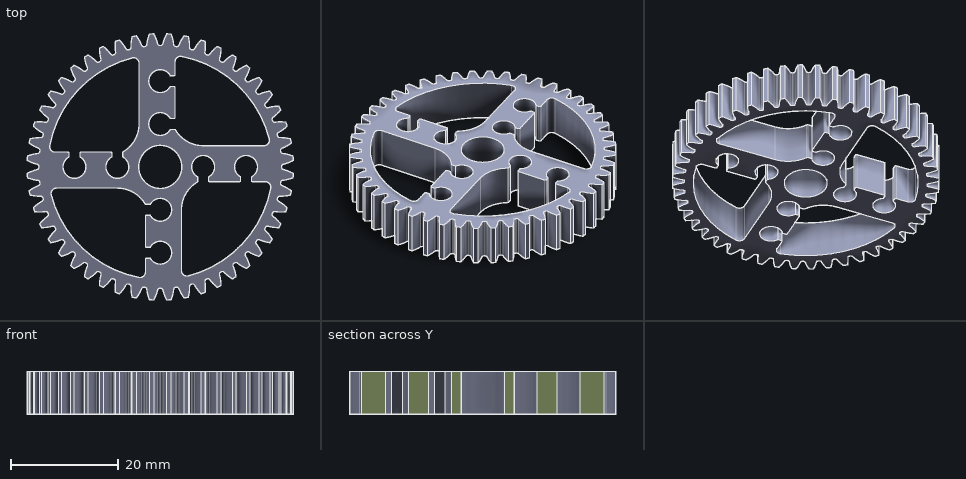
import cadquery as cq
import math

outer_width = 49.75
thickness = 8.0

tooth_count = 48
pitch_radius = 23.95
pressure_angle = math.radians(20)
root_radius = 22.7
root_fillet = 0.4
flank_points = 5

spoke_plain_side = 4.0
spoke_slot_side = 2.8
spoke_count = 4

rim_inner_radius = 21.0
pocket_rim_fillet = 1.0

hole_spacing = 8.0
holes_per_spoke = 2
hole_positions = [hole_spacing * (i + 1) for i in range(holes_per_spoke)]
bore_diameter = hole_spacing
hole_diameter = 4.25
slot_width = 2.0
slot_mouth_fillet = 0.25

tolerance = 0.005

spoke_angle = 360.0 / spoke_count
tooth_angle = 2 * math.pi / tooth_count
base_radius = pitch_radius * math.cos(pressure_angle)


def involute(angle):
    return math.tan(angle) - angle


def tooth_half_angle(radius):
    """Half of the angle that a tooth spans at the given radius."""
    flank_angle = math.acos(base_radius / radius)
    return tooth_angle / 4 + involute(pressure_angle) - involute(flank_angle)


tip_corner_angle = tooth_angle / 2 - tooth_half_angle(outer_width / 2)
tip_radius = outer_width / 2 / math.cos(tip_corner_angle)


def polar(radius, angle):
    return (radius * math.cos(angle), radius * math.sin(angle))


def edges_at_radius(radius):
    """Test for edges centred at the given distance from the gear axis."""
    return lambda edge: abs(math.hypot(edge.Center().x, edge.Center().y) - radius) < tolerance


def make_toothed_disc():
    """Disc with involute teeth and filleted tooth roots."""
    step = (tip_radius - root_radius) / (flank_points - 1)
    flank_radii = [root_radius + i * step for i in range(flank_points)]
    root_half_angle = tooth_half_angle(root_radius)

    outline = cq.Workplane("XY").moveTo(*polar(root_radius, tooth_angle / 2 - root_half_angle))
    for tooth in range(tooth_count):
        middle = (tooth + 0.5) * tooth_angle
        rising = [polar(r, middle - tooth_half_angle(r)) for r in flank_radii]
        falling = [polar(r, middle + tooth_half_angle(r)) for r in reversed(flank_radii)]
        gap_middle = polar(root_radius, middle + tooth_angle / 2)
        gap_end = polar(root_radius, middle + tooth_angle - root_half_angle)
        outline = (
            outline.spline(rising[1:], includeCurrent=True)
            .threePointArc(polar(tip_radius, middle), falling[0])
            .spline(falling[1:], includeCurrent=True)
            .threePointArc(gap_middle, gap_end)
        )
    disc = outline.close().extrude(thickness)
    return disc.edges("|Z").filter(edges_at_radius(root_radius)).fillet(root_fillet)


def make_pocket():
    """Pocket in the +X +Y quarter, with a slotted spoke on its left and a plain spoke side below."""
    wall_top = math.sqrt(rim_inner_radius**2 - spoke_slot_side**2)
    floor_end = math.sqrt(rim_inner_radius**2 - spoke_plain_side**2)

    arc_start_x = hole_spacing
    wall_bottom = hole_spacing - slot_width / 2
    arc_run = arc_start_x - spoke_slot_side
    arc_rise = wall_bottom - spoke_plain_side
    hub_corner_radius = (arc_run**2 + arc_rise**2) / (2 * arc_rise)

    pocket = (
        cq.Workplane("XY")
        .moveTo(spoke_slot_side, wall_bottom)
        .lineTo(spoke_slot_side, wall_top)
        .threePointArc(polar(rim_inner_radius, math.pi / 4), (floor_end, spoke_plain_side))
        .lineTo(arc_start_x, spoke_plain_side)
        .radiusArc((spoke_slot_side, wall_bottom), hub_corner_radius)
        .close()
        .extrude(thickness)
    )
    return pocket.edges("|Z").filter(edges_at_radius(rim_inner_radius)).fillet(pocket_rim_fillet)


def make_slotted_holes():
    """Holes along the +Y spoke, each with a slot opening through the +X side of the spoke."""
    centres = [(0, y) for y in hole_positions]
    holes = cq.Workplane("XY").pushPoints(centres).circle(hole_diameter / 2).extrude(thickness)
    slots = (
        cq.Workplane("XY")
        .pushPoints([(spoke_slot_side / 2, y) for y in hole_positions])
        .rect(spoke_slot_side, slot_width)
        .extrude(thickness)
    )
    return holes.union(slots)


def is_slot_mouth_corner(edge):
    """Test for edges where a slot meets the side of its spoke."""
    on_slot_side = abs(edge.Center().x - spoke_slot_side) < tolerance
    beside_slot = any(abs(abs(edge.Center().y - y) - slot_width / 2) < tolerance for y in hole_positions)
    return on_slot_side and beside_slot


def make_quarter_cutout():
    """Pocket and slotted holes of one quarter, with the spoke corners at the slot mouths rounded."""
    cutout = make_pocket().union(make_slotted_holes())
    return cutout.edges("|Z").filter(is_slot_mouth_corner).fillet(slot_mouth_fillet)


gear = make_toothed_disc()
gear = gear.cut(cq.Workplane("XY").circle(bore_diameter / 2).extrude(thickness))

cutout = make_quarter_cutout()
for spoke in range(spoke_count):
    gear = gear.cut(cutout.rotate((0, 0, 0), (0, 0, 1), spoke * spoke_angle))


result = gear